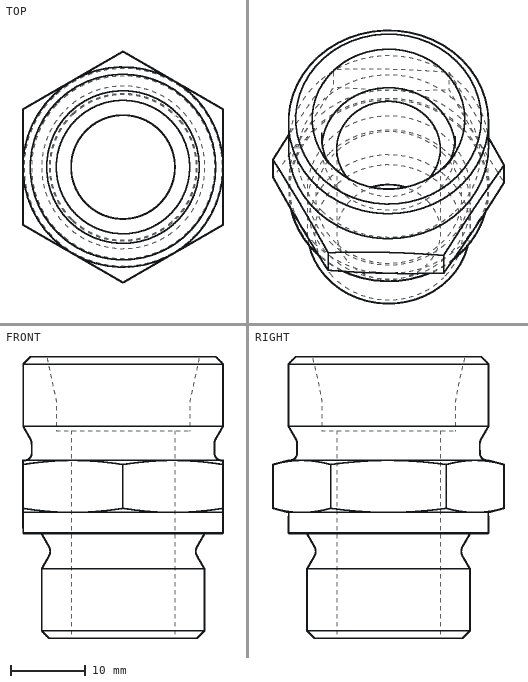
import cadquery as cq
import math

height = 38.0
across_flats = 27.0
bore_diameter = 14.0

upper_diameter = across_flats
upper_chamfer = 1.0
neck_diameter = 24.7
upper_thread_bottom = 28.6
neck_fillet = 1.0

hex_top = 24.0
hex_bottom = 17.0
hex_chamfer_angle = 15.0
collar_bottom = 14.1
collar_edge_chamfer = 0.15

lower_diameter = 22.0
lower_chamfer = 1.03
lower_thread_top = 9.4
groove_fillet = 1.2
undercut_angle = 30.0

socket_diameter = 18.0
socket_mouth_diameter = 20.6
socket_cone_depth = 6.0
socket_depth = 10.0

undercut_slope = math.tan(math.radians(undercut_angle))


def cylinder(diameter, bottom, top):
    return cq.Workplane("XY").workplane(offset=bottom).circle(diameter / 2).extrude(top - bottom)


def revolve_profile(profile):
    """Turn a closed (radius, Z) sketch around the Z axis."""
    return profile.close().revolve(360, (0, 0, 0), (0, 1, 0))


def edge_at(radius, z):
    """Selector box around the complete circular edge of this radius and height."""
    reach = radius + 0.05
    return cq.selectors.BoxSelector((-reach, -reach, z - 0.05), (reach, reach, z + 0.05), boundingbox=True)


def upper_end():
    outer = upper_diameter / 2
    neck = neck_diameter / 2
    neck_top = upper_thread_bottom - (outer - neck) / undercut_slope
    neck_bottom = hex_top
    body = revolve_profile(
        cq.Workplane("XZ")
        .moveTo(0, hex_bottom)
        .lineTo(outer, hex_bottom)
        .lineTo(outer, neck_bottom)
        .lineTo(neck, neck_bottom)
        .lineTo(neck, neck_top)
        .lineTo(outer, upper_thread_bottom)
        .lineTo(outer, height)
        .lineTo(0, height)
    )
    body = body.faces(">Z").edges().chamfer(upper_chamfer)
    for corner_z in (neck_bottom, neck_top):
        body = body.edges(edge_at(neck, corner_z)).fillet(neck_fillet)
    return body


def lower_end():
    outer = lower_diameter / 2
    groove_half_height = (collar_bottom - lower_thread_top) / 2
    groove_z = lower_thread_top + groove_half_height
    groove_radius = outer - groove_half_height * undercut_slope
    body = revolve_profile(
        cq.Workplane("XZ")
        .lineTo(outer, 0)
        .lineTo(outer, lower_thread_top)
        .lineTo(groove_radius, groove_z)
        .lineTo(outer, collar_bottom)
        .lineTo(0, collar_bottom)
    )
    body = body.faces("<Z").edges().chamfer(lower_chamfer)
    return body.edges(edge_at(groove_radius, groove_z)).fillet(groove_fillet)


def hexagon():
    """Hexagon with corners on the Y axis, both ends chamfered down to the flats."""
    across_corners = across_flats / math.cos(math.pi / 6)
    prism = (
        cq.Workplane("XY")
        .workplane(offset=hex_bottom)
        .transformed(rotate=(0, 0, 90))
        .polygon(6, across_corners)
        .extrude(hex_top - hex_bottom)
    )
    flat = across_flats / 2
    corner = across_corners / 2
    corner_drop = (corner - flat) * math.tan(math.radians(hex_chamfer_angle))
    chamfer_envelope = revolve_profile(
        cq.Workplane("XZ")
        .moveTo(0, hex_bottom)
        .lineTo(flat, hex_bottom)
        .lineTo(corner, hex_bottom + corner_drop)
        .lineTo(corner, hex_top - corner_drop)
        .lineTo(flat, hex_top)
        .lineTo(0, hex_top)
    )
    return prism.intersect(chamfer_envelope)


def collar():
    disc = cylinder(across_flats, collar_bottom, hex_bottom)
    return disc.faces("<Z").edges().chamfer(collar_edge_chamfer)


def socket():
    cone_bottom = height - socket_cone_depth
    socket_floor = height - socket_depth
    return revolve_profile(
        cq.Workplane("XZ")
        .moveTo(0, socket_floor)
        .lineTo(socket_diameter / 2, socket_floor)
        .lineTo(socket_diameter / 2, cone_bottom)
        .lineTo(socket_mouth_diameter / 2, height)
        .lineTo(0, height)
    )


outside = upper_end().union(hexagon()).union(collar()).union(lower_end())
result = outside.cut(socket()).cut(cylinder(bore_diameter, 0, height))